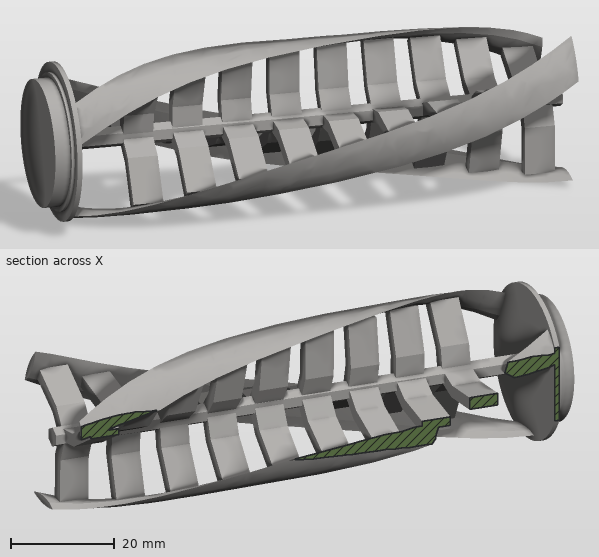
import cadquery as cq
import math

BLADE_COUNT = 3
LENGTH = 100.0
AXIS_START = (0, 0, 0)
AXIS_END = (0, -1, 0)

FLANGE_DIAMETER = 31.0
FLANGE_THICKNESS = 1.0
STEP_DIAMETER = 27.0
STEP_THICKNESS = 0.6
PLUG_DIAMETER = 25.0
PLUG_THICKNESS = 3.0

SPINE_SIDES = 6
SPINE_CIRCUMRADIUS = 2.0
SPINE_ROTATION = 3.0

MID_ANGLE = 98.5
LINEAR_TWIST = 42.0
CUBIC_TWIST = 25.0
BLADE_SPREAD = 33.0
TRAILING_THICKNESS = 0.8
TRAILING_BEVEL_ANGLE = 7.0
CREST_THICKNESS = 1.4
INNER_CREST_ANGLE = 4.0
SECTION_COUNT = 9
TRAILING_RADIUS_TERMS = (15.3, -0.3, -0.65, 0.55)
CREST_RADIUS_TERMS = (15.65, -0.25, -0.25, 0.7)
TIP_RADIUS_TERMS = (15.61, -1.12, 0.1, 2.24)

RUNG_COUNT = 9
RUNG_PITCH = 10.0
RUNG_WIDTH = 6.0
FIRST_RUNG_START = 12.0
ARM_WIDTH = 2.5
ARM_ROOT_RADIUS = 1.54
ARM_BEND_X = 5.23
ARM_BEND_Z = 1.5
ARM_BEND_SKEW = 0.2
ARM_END_Z = 1.0
ARM_OVERLAP = 0.1


def station(y):
    """Position along the blade, from -1 at the cap to +1 at the free end."""
    return 2 * y / LENGTH - 1


def blade_angle(y):
    s = station(y)
    return MID_ANGLE + LINEAR_TWIST * s + CUBIC_TWIST * s**3


def radius_at(terms, y):
    s = station(y)
    return sum(term * s**power for power, term in enumerate(terms))


def polar(radius, angle, y):
    turn = math.radians(angle)
    return cq.Vector(radius * math.cos(turn), y, radius * math.sin(turn))


def disc(diameter, y_start, thickness):
    return cq.Workplane("XZ", origin=(0, y_start, 0)).circle(diameter / 2).extrude(thickness)


def make_cap():
    flange = disc(FLANGE_DIAMETER, 0, FLANGE_THICKNESS)
    step = disc(STEP_DIAMETER, -FLANGE_THICKNESS, STEP_THICKNESS)
    plug = disc(PLUG_DIAMETER, -FLANGE_THICKNESS - STEP_THICKNESS, PLUG_THICKNESS)
    return flange.union(step).union(plug)


def make_spine():
    corner_turn = 180 / SPINE_SIDES
    spine = cq.Workplane("XZ").polygon(SPINE_SIDES, 2 * SPINE_CIRCUMRADIUS).extrude(-LENGTH)
    return spine.rotate(AXIS_START, AXIS_END, corner_turn + SPINE_ROTATION)


def blade_section(y):
    """Crescent with a slanted trailing face and a sharp tip."""
    centre = blade_angle(y)
    trailing_angle = centre - BLADE_SPREAD / 2
    trailing_radius = radius_at(TRAILING_RADIUS_TERMS, y)
    crest_radius = radius_at(CREST_RADIUS_TERMS, y)
    trailing_outer = polar(trailing_radius, trailing_angle, y)
    trailing_inner = polar(trailing_radius - TRAILING_THICKNESS, trailing_angle + TRAILING_BEVEL_ANGLE, y)
    crest_outer = polar(crest_radius, centre, y)
    crest_inner = polar(crest_radius - CREST_THICKNESS, centre + INNER_CREST_ANGLE, y)
    tip = polar(radius_at(TIP_RADIUS_TERMS, y), centre + BLADE_SPREAD / 2, y)
    return cq.Wire.assembleEdges([
        cq.Edge.makeThreePointArc(trailing_outer, crest_outer, tip),
        cq.Edge.makeThreePointArc(tip, crest_inner, trailing_inner),
        cq.Edge.makeLine(trailing_inner, trailing_outer),
    ])


def make_blade():
    spacing = LENGTH / (SECTION_COUNT - 1)
    sections = [blade_section(i * spacing) for i in range(SECTION_COUNT)]
    return cq.Workplane(cq.Solid.makeLoft(sections))


def make_arm(y_start):
    """One bent arm, ending just inside the inner face of its blade."""
    y_middle = y_start + RUNG_WIDTH / 2
    end_x = radius_at(CREST_RADIUS_TERMS, y_middle) - CREST_THICKNESS + ARM_OVERLAP
    half = ARM_WIDTH / 2
    half_pitch = math.pi / BLADE_COUNT
    root_x = ARM_ROOT_RADIUS * math.cos(half_pitch)
    root_z = ARM_ROOT_RADIUS * math.sin(half_pitch)
    outline = [
        (0, 0),
        (root_x, -root_z),
        (ARM_BEND_X + ARM_BEND_SKEW, ARM_BEND_Z - half),
        (end_x, ARM_END_Z - half),
        (end_x, ARM_END_Z + half),
        (ARM_BEND_X - ARM_BEND_SKEW, ARM_BEND_Z + half),
        (root_x, root_z),
    ]
    arm = cq.Workplane("XZ", origin=(0, y_start, 0)).polyline(outline).close().extrude(-RUNG_WIDTH)
    return arm.rotate(AXIS_START, AXIS_END, blade_angle(y_middle))


def around_axis(shape):
    """Copies of a shape spaced evenly around the Y axis."""
    step = 360 / BLADE_COUNT
    return [shape.rotate(AXIS_START, AXIS_END, i * step) for i in range(BLADE_COUNT)]


result = make_cap().union(make_spine())
for i in range(RUNG_COUNT):
    for arm in around_axis(make_arm(FIRST_RUNG_START + i * RUNG_PITCH)):
        result = result.union(arm)
for blade in around_axis(make_blade()):
    result = result.union(blade)